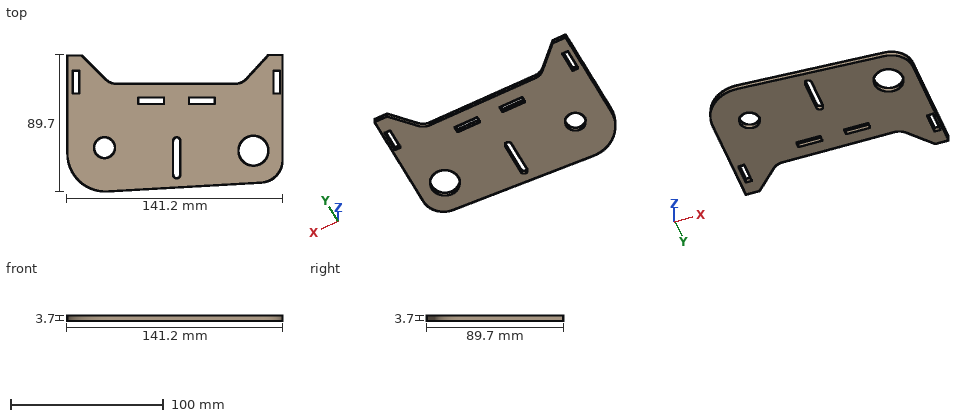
import cadquery as cq
import math

width = 141.2
depth = 89.7
thickness = 3.7

left_radius = 25.0
right_radius = 15.0
right_center_y = 20.8

left_ear_top = 89.2
left_ear_width = 9.6
right_ear_width = 9.3
notch_floor = 70.7
left_notch_angle = 45.0
right_notch_angle = 47.3
notch_fillet = 10.0

small_hole_diameter = 13.5
small_hole_center = (24.4, 28.8)
large_hole_diameter = 19.5
large_hole_center = (122.0, 26.8)

slot_width = 4.1
ear_slot_length = 14.7
ear_slot_y = 71.7
ear_slot_xs = (5.8, 137.2)
middle_slot_length = 16.7
middle_slot_y = 59.6
middle_slot_xs = (54.9, 88.2)

long_slot_width = 4.5
long_slot_length = 26.7
long_slot_center = (71.7, 22.2)


def arc_point(center, radius, angle):
    """Point on a circle, with the angle in radians from +X."""
    return (center[0] + radius * math.cos(angle), center[1] + radius * math.sin(angle))


def make_plate():
    left_center = (left_radius, left_radius)
    right_center = (width - right_radius, right_center_y)

    run = right_center[0] - left_center[0]
    rise = right_center[1] - left_center[1]
    slope = math.atan2(rise, run) + math.asin((left_radius - right_radius) / math.hypot(run, rise))
    bottom_normal = slope - math.pi / 2

    left_notch_run = (left_ear_top - notch_floor) / math.tan(math.radians(left_notch_angle))
    right_notch_run = (depth - notch_floor) / math.tan(math.radians(right_notch_angle))
    notch_left = (left_ear_width + left_notch_run, notch_floor)
    notch_right = (width - right_ear_width - right_notch_run, notch_floor)

    plate = (
        cq.Workplane("XY")
        .moveTo(0, left_ear_top)
        .lineTo(0, left_center[1])
        .threePointArc(
            arc_point(left_center, left_radius, (bottom_normal - math.pi) / 2),
            arc_point(left_center, left_radius, bottom_normal),
        )
        .lineTo(*arc_point(right_center, right_radius, bottom_normal))
        .threePointArc(
            arc_point(right_center, right_radius, bottom_normal / 2),
            (width, right_center[1]),
        )
        .lineTo(width, depth)
        .lineTo(width - right_ear_width, depth)
        .lineTo(*notch_right)
        .lineTo(*notch_left)
        .lineTo(left_ear_width, left_ear_top)
        .close()
        .extrude(thickness)
    )
    for corner in (notch_left, notch_right):
        corner_edge = cq.selectors.NearestToPointSelector((*corner, thickness / 2))
        plate = plate.edges("|Z").edges(corner_edge).fillet(notch_fillet)
    return plate


def make_openings():
    """Solids that cut through the full thickness."""
    base = cq.Workplane("XY")
    small_hole = base.pushPoints([small_hole_center]).circle(small_hole_diameter / 2).extrude(thickness)
    large_hole = base.pushPoints([large_hole_center]).circle(large_hole_diameter / 2).extrude(thickness)
    ear_slots = (
        base.pushPoints([(x, ear_slot_y) for x in ear_slot_xs])
        .rect(slot_width, ear_slot_length)
        .extrude(thickness)
    )
    middle_slots = (
        base.pushPoints([(x, middle_slot_y) for x in middle_slot_xs])
        .rect(middle_slot_length, slot_width)
        .extrude(thickness)
    )
    long_slot = (
        base.pushPoints([long_slot_center])
        .slot2D(long_slot_length, long_slot_width, 90)
        .extrude(thickness)
    )
    return [small_hole, large_hole, ear_slots, middle_slots, long_slot]


result = make_plate()
for opening in make_openings():
    result = result.cut(opening)